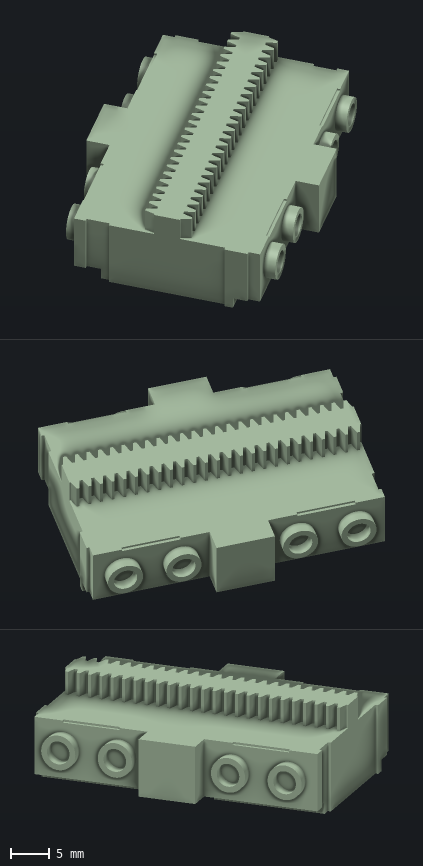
import cadquery as cq

OVERALL_WIDTH = 32.0
OVERALL_LENGTH = 40.8
OVERALL_HEIGHT = 12.8

JOINT_INNER_X = 8.0
JOINT_OUTER_X = 11.18
JOINT_DEPTH = 0.4

BLOCK_WIDTH = 25.6
BLOCK_LENGTH = OVERALL_LENGTH - 2 * JOINT_DEPTH
BLOCK_HEIGHT = 8.0

WING_LENGTH = 8.0

FOOT_WIDTH = 18.35
FOOT_HEIGHT = 1.6

PIN_DIAMETER = 4.8
PIN_BORE = 3.2
PIN_LENGTH = 1.6
PIN_SPACING = 8.0

NICK_WIDTH = 0.4
NICK_HEIGHT = 0.3

RACK_HEIGHT = OVERALL_HEIGHT - BLOCK_HEIGHT - FOOT_HEIGHT
RACK_TIP_WIDTH = 6.35
RACK_ROOT_WIDTH = 3.55
TOOTH_COUNT = 25
TOOTH_PITCH = BLOCK_LENGTH / TOOTH_COUNT
TOOTH_LAND = TOOTH_PITCH / 4

BLOCK_SIDE_X = BLOCK_WIDTH / 2
BLOCK_END_Y = BLOCK_LENGTH / 2
BLOCK_TOP_Z = FOOT_HEIGHT + BLOCK_HEIGHT
PIN_Z = FOOT_HEIGHT + BLOCK_HEIGHT / 2
PIN_POSITIONS_Y = [row * PIN_SPACING for row in (-2, -1, 1, 2)]


def box(x_size, y_size, z_size, x=0.0, y=0.0, z=0.0):
    """Box centred on x and y, standing on height z."""
    return cq.Workplane("XY").box(x_size, y_size, z_size, centered=(True, True, False)).translate((x, y, z))


def make_body():
    """Block with its wings and the split foot."""
    block = box(BLOCK_WIDTH, BLOCK_LENGTH, BLOCK_HEIGHT, z=FOOT_HEIGHT)
    wings = box(OVERALL_WIDTH, WING_LENGTH, BLOCK_HEIGHT, z=FOOT_HEIGHT)
    foot = box(FOOT_WIDTH, BLOCK_LENGTH, FOOT_HEIGHT)
    channel = box(FOOT_WIDTH, WING_LENGTH, FOOT_HEIGHT)
    return block.union(wings).union(foot.cut(channel))


def add_end_joints(body):
    """Each end gets a groove on one side and a tongue on the other, swapped at the opposite end."""
    joint_width = JOINT_OUTER_X - JOINT_INNER_X
    joint_x = (JOINT_INNER_X + JOINT_OUTER_X) / 2
    foot_part_width = FOOT_WIDTH / 2 - JOINT_INNER_X
    foot_part_x = JOINT_INNER_X + foot_part_width / 2
    tongue_y = BLOCK_END_Y + JOINT_DEPTH / 2
    groove_y = BLOCK_END_Y - JOINT_DEPTH / 2
    for end in (-1, 1):
        tongue = box(joint_width, JOINT_DEPTH, BLOCK_HEIGHT, -end * joint_x, end * tongue_y, FOOT_HEIGHT)
        tongue_foot = box(foot_part_width, JOINT_DEPTH, FOOT_HEIGHT, -end * foot_part_x, end * tongue_y)
        groove = box(joint_width, JOINT_DEPTH, BLOCK_TOP_Z, end * joint_x, end * groove_y)
        body = body.union(tongue).union(tongue_foot).cut(groove)
    return body


def add_pins(body):
    """Pins with a bore as deep as the pin is long."""
    for side in (-1, 1):
        for y in PIN_POSITIONS_Y:
            start = cq.Workplane("YZ", origin=(side * BLOCK_SIDE_X, y, PIN_Z))
            pin = start.circle(PIN_DIAMETER / 2).circle(PIN_BORE / 2).extrude(side * PIN_LENGTH)
            body = body.union(pin)
    return body


def cut_nicks(body):
    """Shallow nicks between the axes of each pair of pins."""
    nick_x = BLOCK_SIDE_X - NICK_WIDTH / 2
    nick_z = BLOCK_TOP_Z - NICK_HEIGHT
    nick_y = (PIN_POSITIONS_Y[-2] + PIN_POSITIONS_Y[-1]) / 2
    for side in (-1, 1):
        for end in (-1, 1):
            nick = box(NICK_WIDTH, PIN_SPACING, NICK_HEIGHT, side * nick_x, end * nick_y, nick_z)
            body = body.cut(nick)
    return body


def make_rack():
    """Bar with straight-flanked teeth along both long sides, half a root land at each end."""
    tip_x = RACK_TIP_WIDTH / 2
    root_x = RACK_ROOT_WIDTH / 2
    tooth_foot = (TOOTH_PITCH - TOOTH_LAND) / 2
    tooth_tip = TOOTH_LAND / 2
    edge = [(root_x, -BLOCK_END_Y)]
    for tooth in range(TOOTH_COUNT):
        y = -BLOCK_END_Y + (tooth + 0.5) * TOOTH_PITCH
        edge += [
            (root_x, y - tooth_foot),
            (tip_x, y - tooth_tip),
            (tip_x, y + tooth_tip),
            (root_x, y + tooth_foot),
        ]
    edge.append((root_x, BLOCK_END_Y))
    opposite_edge = [(-x, y) for x, y in reversed(edge)]
    rack = cq.Workplane("XY").polyline(edge + opposite_edge).close().extrude(RACK_HEIGHT)
    return rack.translate((0, 0, BLOCK_TOP_Z))


body = make_body()
body = add_end_joints(body)
body = add_pins(body)
body = cut_nicks(body)
result = body.union(make_rack())